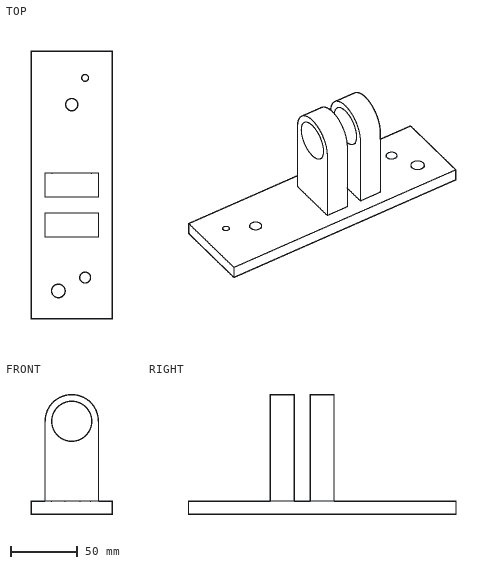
import cadquery as cq

plate_width = 61.0
plate_length = 201
plate_thickness = 10

total_height = 90.0
lug_width = 40.2
lug_thickness = 18
lug_gap = 11.9
lug_pair_center_y = -15.0
bore_diameter = 30.0
lug_radius = lug_width / 2
bore_height = total_height - lug_radius

hole_offset_x = 10
plate_holes = [
    (hole_offset_x, 80.5, 5.0),
    (0, 60.3, 9.0),
    (hole_offset_x, -69.5, 8),
    (-hole_offset_x, -79.5, 10),
]


def make_plate():
    plate = cq.Workplane("XY").box(
        plate_width, plate_length, plate_thickness, centered=(True, True, False)
    )
    for x, y, diameter in plate_holes:
        drill = cq.Workplane("XY").center(x, y).circle(diameter / 2).extrude(plate_thickness)
        plate = plate.cut(drill)
    return plate


def make_lug(front_y):
    """Lug standing on the plate, with its -Y face at front_y."""
    back_y = front_y + lug_thickness
    return (
        cq.Workplane("XZ", origin=(0, back_y, 0))
        .moveTo(-lug_radius, plate_thickness)
        .lineTo(-lug_radius, bore_height)
        .threePointArc((0, total_height), (lug_radius, bore_height))
        .lineTo(lug_radius, plate_thickness)
        .close()
        .moveTo(0, bore_height)
        .circle(bore_diameter / 2)
        .extrude(lug_thickness)
    )


result = make_plate()
for lug_front_y in (
    lug_pair_center_y - lug_gap / 2 - lug_thickness,
    lug_pair_center_y + lug_gap / 2,
):
    result = result.union(make_lug(lug_front_y))